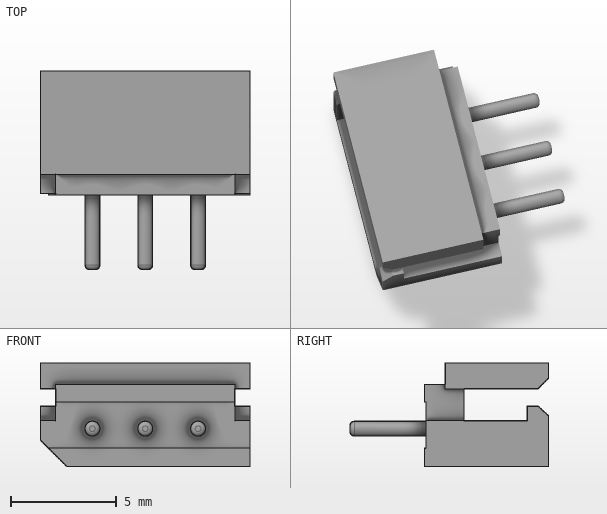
import cadquery as cq

width = 9.9
depth = 5.87
height = 4.9
overall_length = 9.4

base_top = 2.17
arm_width = 0.71
latch_top = 2.86
latch_length = 1.02
latch_bevel_length = 0.5
latch_bevel_height = 0.47
corner_bevel = 1.25

wall_thickness = 1.88
wall_top = 3.88
lip_bottom = 3.05
ledge_top = 0.87
face_recess = 0.07

plate_front = 0.98
plate_bottom = 3.67
plate_bevel = 0.5

pocket_floor = 0.42
pocket_bevel = 0.74

pin_count = 3
pin_pitch = 2.49
pin_diameter = 0.7
pin_height = 1.79
pin_length = overall_length - depth
pin_tip_round = 0.22

inner_width = width - 2 * arm_width


def extrude_along_x(points, length):
    """Extrude a closed (Y, Z) outline along X."""
    return cq.Workplane("YZ").polyline(points).close().extrude(length)


def make_base():
    latch_front = depth - latch_length
    outline = [
        (0, 0),
        (depth, 0),
        (depth, latch_top - latch_bevel_height),
        (depth - latch_bevel_length, latch_top),
        (latch_front, latch_top),
        (latch_front, base_top),
        (0, base_top),
    ]
    return extrude_along_x(outline, width)


def make_wall():
    return cq.Workplane("XY").box(inner_width, wall_thickness, wall_top, centered=False).translate(
        (arm_width, 0, 0)
    )


def make_plate():
    outline = [
        (plate_front, plate_bottom),
        (plate_front, height),
        (depth, height),
        (depth, plate_bottom + plate_bevel),
        (depth - plate_bevel, plate_bottom),
    ]
    return extrude_along_x(outline, width)


def make_pocket():
    """Pocket whose lower left bevel follows the beveled housing corner."""
    right = width - arm_width
    outline = [
        (arm_width + pocket_bevel, pocket_floor),
        (right, pocket_floor),
        (right, plate_bottom),
        (arm_width, plate_bottom),
        (arm_width, pocket_floor + pocket_bevel),
    ]
    pocket = cq.Workplane("XZ").polyline(outline).close().extrude(wall_thickness - depth)
    return pocket.translate((0, wall_thickness, 0))


def make_corner_cut():
    outline = [(0, 0), (corner_bevel, 0), (0, corner_bevel)]
    return cq.Workplane("XZ").polyline(outline).close().extrude(-depth)


def make_face_recess():
    """Shallow band across the pin face, between the ledge and the lip."""
    return cq.Workplane("XY").box(width, face_recess, lip_bottom - ledge_top, centered=False).translate(
        (0, 0, ledge_top)
    )


def make_pin(x):
    pin = cq.Workplane("XZ", origin=(x, face_recess, pin_height)).circle(pin_diameter / 2)
    return pin.extrude(pin_length + face_recess).faces("<Y").edges().fillet(pin_tip_round)


result = make_base().cut(make_pocket()).union(make_wall()).union(make_plate())
result = result.cut(make_corner_cut()).cut(make_face_recess())

for index in range(pin_count):
    offset = (index - (pin_count - 1) / 2) * pin_pitch
    result = result.union(make_pin(width / 2 + offset))